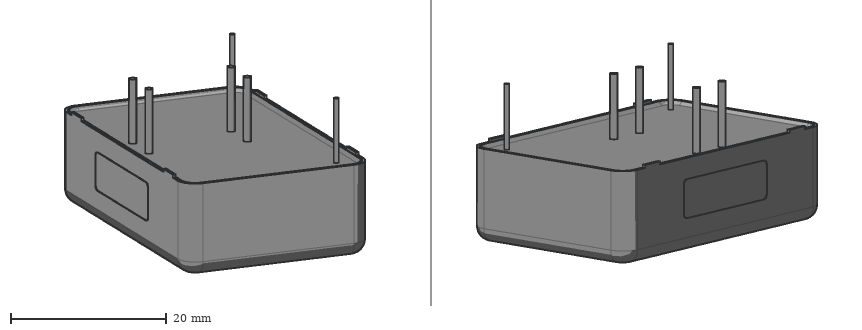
import cadquery as cq

case_length = 40.2
case_width = 26.2
case_height = 12.4
corner_radius = 2.45
bottom_radius = 1.93
wall = 0.4

label_length = 16.7
label_height = 5.15
label_corner_radius = 0.7
label_thickness = 0.1
label_center_z = 7.05

tab_length = 3.1
tab_height = 0.4
tab_center_x = 14.55

meniscus_radius = 0.5
potting_rim = 0.12
potting_top = case_height - meniscus_radius

pin_top = 20.5
thin_pin_diameter = 0.7
thick_pin_diameter = 1.0
thin_pin_x = 16.5
thin_pin_y = 9.75
thick_pin_x = 2.57
thick_pin_rows = (3.4, -10.45)


def rounded_block(inset, bottom, top, edge_radius):
    """Case outline moved inwards by inset, with its bottom edge rounded."""
    return (
        cq.Workplane("XY", origin=(0, 0, bottom))
        .rect(case_length - 2 * inset, case_width - 2 * inset)
        .extrude(top - bottom)
        .edges("|Z")
        .fillet(corner_radius - inset)
        .faces("<Z")
        .edges()
        .fillet(edge_radius)
    )


def cavity():
    """Inside of the case, parallel to its outer skin, from the floor up to the rim."""
    return rounded_block(wall, wall, case_height, bottom_radius - wall)


def label_panel():
    """Thin raised panel with rounded corners on the -Y wall."""
    return (
        cq.Workplane("XZ", origin=(0, -case_width / 2, label_center_z))
        .rect(label_length, label_height)
        .extrude(label_thickness)
        .edges("|Y")
        .fillet(label_corner_radius)
    )


def rim_tabs():
    """Four stand-off tabs on top of the rim, two along each long wall."""
    tab_y = (case_width - wall) / 2
    return (
        cq.Workplane("XY", origin=(0, 0, case_height))
        .rect(2 * tab_center_x, 2 * tab_y, forConstruction=True)
        .vertices()
        .rect(tab_length, wall)
        .extrude(tab_height)
    )


def make_case():
    """Open-topped case with its label panel and stand-off tabs."""
    shell = rounded_block(0, 0, case_height, bottom_radius).cut(cavity())
    return shell.union(label_panel()).union(rim_tabs())


def pins(places, diameter):
    """Round pins rising from the potting surface at the given places."""
    return (
        cq.Workplane("XY", origin=(0, 0, potting_top))
        .pushPoints(places)
        .circle(diameter / 2)
        .extrude(pin_top - potting_top)
    )


def make_potting():
    """Potting that fills the case, dished to a flat surface, with the pins fixed in it."""
    hollow_top = case_height + tab_height
    hollow = rounded_block(wall + potting_rim, potting_top, hollow_top, meniscus_radius)
    thin_places = [(side * thin_pin_x, thin_pin_y) for side in (-1, 1)]
    thick_places = [(side * thick_pin_x, y) for side in (-1, 1) for y in thick_pin_rows]
    return (
        cavity()
        .cut(hollow)
        .union(pins(thin_places, thin_pin_diameter))
        .union(pins(thick_places, thick_pin_diameter))
    )


case = make_case()
potting = make_potting()
result = cq.Compound.makeCompound([case.val(), potting.val()])